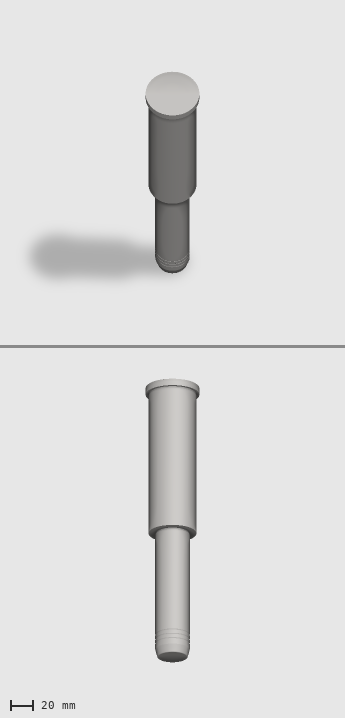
import cadquery as cq

total_length = 251.0
head_diameter = 47.0
head_height = 6.0
sleeve_diameter = 42.0
sleeve_bottom = 115.5
pin_diameter = 30.0

groove_depth = 0.3

head_relief_width = 1.5

neck_width = 1.5
neck_depth = 0.5

ring_count = 3
lowest_ring_center = 12.5
ring_pitch = 4.0
ring_width = 1.0

tip_height = 7.0
tip_taper = 2.0
tip_edge_radius = 0.8


def cylinder(diameter, bottom, top):
    """Solid cylinder on the Z axis between two heights."""
    return cq.Workplane("XY").workplane(offset=bottom).circle(diameter / 2).extrude(top - bottom)


def cut_vee_groove(body, diameter, depth, center_z, width):
    """Cut a groove with a V profile around a cylinder of the given diameter."""
    radius = diameter / 2
    profile = (
        cq.Workplane("XZ")
        .moveTo(radius, center_z - width / 2)
        .lineTo(radius - depth, center_z)
        .lineTo(radius, center_z + width / 2)
        .close()
    )
    return body.cut(profile.revolve(360, (0, 0, 0), (0, 1, 0)))


def tapered_pin():
    """Pin that tapers to a flat tip with a softened edge."""
    radius = pin_diameter / 2
    profile = (
        cq.Workplane("XZ")
        .lineTo(radius - tip_taper, 0)
        .lineTo(radius, tip_height)
        .lineTo(radius, sleeve_bottom)
        .lineTo(0, sleeve_bottom)
        .close()
    )
    pin_body = profile.revolve(360, (0, 0, 0), (0, 1, 0))
    return pin_body.faces("<Z").edges().fillet(tip_edge_radius)


head_bottom = total_length - head_height
sleeve = cylinder(sleeve_diameter, sleeve_bottom, head_bottom)
head = cylinder(head_diameter, head_bottom, total_length)
head_relief_center = head_bottom - head_relief_width / 2
sleeve = cut_vee_groove(sleeve, sleeve_diameter, groove_depth, head_relief_center, head_relief_width)

pin = tapered_pin()
for index in range(ring_count):
    ring_center = lowest_ring_center + index * ring_pitch
    pin = cut_vee_groove(pin, pin_diameter, groove_depth, ring_center, ring_width)

neck_bottom = sleeve_bottom - neck_width
neck_waste = cylinder(pin_diameter, neck_bottom, sleeve_bottom).cut(
    cylinder(pin_diameter - 2 * neck_depth, neck_bottom, sleeve_bottom)
)
pin = pin.cut(neck_waste)

result = pin.union(sleeve).union(head)